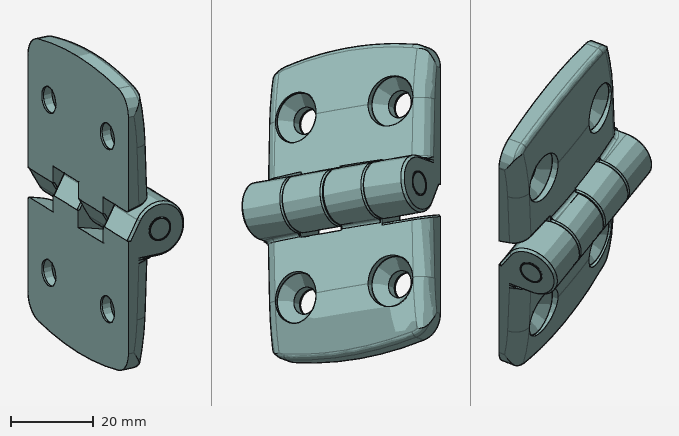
import cadquery as cq
import math

width = 48.0
half_width = width / 2
half_length = 38.5
end_arc_radius = 100.0
corner_radius = 6.0

crest_height = 8.0
crest_slope = math.radians(2.0)
crown_radius = 200.0
side_rounding = 4.0
end_rounding = 1.5
bend_z = 22.4
bend_radius = 70.0

axis_y = 8.9
knuckle_radius = 7.0
knuckle_pitch = width / 4
middle_gap = 0.2
flank_z = 1.56
outer_chamfer = 0.6
inner_chamfer = 0.4
root_fillet = 1.0
flare_overlap = 0.02

slot_front_z = 5.95
slot_back_z = 8.05
slot_chamfer = 0.5

hole_x = 14.0
hole_z = 22.5
hole_diameter = 6.7
seat_diameter = 12.6
seat_floor = 0.5
bush_rim_width = 0.1
countersink_start = 2.9
countersink_slope = math.radians(45.0)

pin_diameter = 6.0
pin_chamfer = 0.3

clearance = 10.0


def crest_y(z):
    """Height of the straight part of the crest."""
    return crest_height - (z - knuckle_radius) * math.tan(crest_slope)


def back_section(plane_z, half_span, growth=0.0):
    """Crowned section with rounded sides in an XY plane, as an open line from side to side.

    growth offsets the curved part outwards.
    """
    crown = crown_radius + growth
    rounding = side_rounding + growth
    top_y = crest_y(plane_z) + growth
    crown_y = top_y - crown
    centre_x = half_span - rounding
    centre_y = crown_y + math.sqrt((crown - rounding) ** 2 - centre_x**2)
    blend_angle = math.atan2(centre_x, centre_y - crown_y)
    middle_angle = (blend_angle + math.pi / 2) / 2
    blend_x = crown * math.sin(blend_angle)
    blend_y = crown_y + crown * math.cos(blend_angle)
    middle_x = centre_x + rounding * math.sin(middle_angle)
    middle_y = centre_y + rounding * math.cos(middle_angle)
    return (
        cq.Workplane("XY", origin=(0, 0, plane_z))
        .moveTo(-half_span, -clearance)
        .lineTo(-half_span, centre_y)
        .threePointArc((-middle_x, middle_y), (-blend_x, blend_y))
        .threePointArc((0, top_y), (blend_x, blend_y))
        .threePointArc((middle_x, middle_y), (half_span, centre_y))
        .lineTo(half_span, -clearance)
    )


def domed_bar(half_span):
    """Bar with the crowned section, swept along a crest that is straight and then bends down."""
    bend_y = crest_y(bend_z)
    centre_y = bend_y - bend_radius * math.cos(crest_slope)
    centre_z = bend_z - bend_radius * math.sin(crest_slope)
    end_z = half_length + clearance
    end_y = centre_y + math.sqrt(bend_radius**2 - (end_z - centre_z) ** 2)
    crest = (
        cq.Workplane("YZ")
        .moveTo(crest_y(0), 0)
        .lineTo(bend_y, bend_z)
        .tangentArcPoint((end_y, end_z), relative=False)
    )
    return back_section(0, half_span).close().sweep(crest)


def plate():
    """Leaf without knuckles, slots and holes."""
    side_z = half_length - end_arc_radius + math.sqrt(end_arc_radius**2 - half_width**2)
    outline = (
        cq.Workplane("XZ")
        .moveTo(-half_width, flank_z)
        .lineTo(-half_width, side_z)
        .threePointArc((0, half_length), (half_width, side_z))
        .lineTo(half_width, flank_z)
        .close()
        .extrude(-2 * clearance)
        .edges("|Y")
        .edges(">Z")
        .fillet(corner_radius)
    )
    blank = outline.intersect(domed_bar(half_width + clearance))
    rounded_end = blank.faces(">Z").edges(">Y").fillet(end_rounding)
    return rounded_end.intersect(domed_bar(half_width))


def slot(start_x, end_x):
    """Cutter with a sloping floor."""
    slope = (slot_back_z - slot_front_z) / crest_height
    back_y = crest_height + clearance
    return (
        cq.Workplane("YZ", origin=(start_x, 0, 0))
        .moveTo(-clearance, 0)
        .lineTo(-clearance, slot_front_z - clearance * slope)
        .lineTo(back_y, slot_front_z + back_y * slope)
        .lineTo(back_y, 0)
        .close()
        .extrude(end_x - start_x)
    )


def knuckle(start_x, end_x, start_chamfer):
    """Barrel and web; the lower flank runs straight from the mounting face and touches the barrel."""
    axis_distance = math.hypot(axis_y, flank_z)
    flank_length = math.sqrt(axis_distance**2 - knuckle_radius**2)
    flank_angle = math.asin(knuckle_radius / axis_distance) + math.atan2(flank_z, axis_y)
    touch_y = flank_length * math.cos(flank_angle)
    touch_z = flank_z - flank_length * math.sin(flank_angle)
    barrel = (
        cq.Workplane("YZ", origin=(start_x, 0, 0))
        .moveTo(0, knuckle_radius)
        .lineTo(0, flank_z)
        .lineTo(touch_y, touch_z)
        .threePointArc((axis_y + knuckle_radius, 0), (axis_y, knuckle_radius))
        .close()
        .extrude(end_x - start_x)
    )
    barrel = barrel.faces("<X").edges("not <Y").chamfer(start_chamfer)
    return barrel.faces(">X").edges("not <Y").chamfer(inner_chamfer)


def root_flare(start_x, end_x):
    """Fillet between the domed back and the top of a knuckle, running round the domed side."""
    top_z = knuckle_radius + root_fillet
    offset = root_fillet - flare_overlap
    outline = back_section(top_z, half_width + offset, offset)
    slab = outline.close().extrude(-root_fillet - flare_overlap)
    cove = (
        cq.Workplane("XZ", origin=(-half_width - offset, -clearance, top_z))
        .circle(root_fillet)
        .sweep(back_section(top_z, half_width + offset, offset))
    )
    trim = (
        cq.Workplane("XY")
        .box(end_x - start_x, 2 * clearance, 2 * clearance, centered=False)
        .translate((start_x, 0, 0))
    )
    return slab.cut(cove).intersect(trim)


def screw_seat(x):
    """Cutter for a screw hole and the recess that takes its bush."""
    hole = cq.Workplane("XZ", origin=(x, 0, hole_z)).circle(hole_diameter / 2).extrude(-clearance)
    recess = (
        cq.Workplane("XZ", origin=(x, seat_floor, hole_z)).circle(seat_diameter / 2).extrude(-clearance)
    )
    return hole.union(recess)


def bush(x):
    """Countersunk ring that fills the bottom of a recess."""
    bore = hole_diameter / 2
    outer = seat_diameter / 2
    mouth = outer - bush_rim_width
    rim_y = countersink_start + (mouth - bore) / math.tan(countersink_slope)
    return (
        cq.Workplane("XY", origin=(x, 0, hole_z))
        .moveTo(bore, seat_floor)
        .lineTo(outer, seat_floor)
        .lineTo(outer, rim_y)
        .lineTo(mouth, rim_y)
        .lineTo(bore, countersink_start)
        .close()
        .revolve(360, (0, 0, 0), (0, 1, 0))
    )


def leaf():
    """Leaf that lies above the axis."""
    body = plate()
    for start_x, end_x in ((-knuckle_pitch, middle_gap / 2), (knuckle_pitch, half_width)):
        body = body.cut(slot(start_x, end_x))
    slot_edges = body.faces(">X").edges("<Z")
    body = slot_edges.chamfer(slot_chamfer)
    body = body.union(knuckle(-half_width, -knuckle_pitch, outer_chamfer))
    body = body.union(knuckle(middle_gap / 2, knuckle_pitch, inner_chamfer))
    body = body.union(root_flare(-half_width, -knuckle_pitch - inner_chamfer))
    body = body.union(root_flare(middle_gap / 2 + inner_chamfer, knuckle_pitch - inner_chamfer))
    for x in (-hole_x, hole_x):
        body = body.cut(screw_seat(x))
    pin_hole = (
        cq.Workplane("YZ", origin=(-half_width, axis_y, 0)).circle(pin_diameter / 2).extrude(width)
    )
    return body.cut(pin_hole)


def turned_over(body):
    """Copy of a body turned half a turn about the Y axis, onto the other leaf."""
    return body.rotate((0, 0, 0), (0, 1, 0), 180)


pin = (
    cq.Workplane("YZ", origin=(-half_width, axis_y, 0))
    .circle(pin_diameter / 2)
    .extrude(width)
    .faces("<X or >X")
    .chamfer(pin_chamfer)
)
upper_leaf = leaf()
lower_leaf = turned_over(upper_leaf)
bushes = []
for x in (-hole_x, hole_x):
    upper_bush = bush(x)
    bushes.append(upper_bush.val())
    bushes.append(turned_over(upper_bush).val())

result = cq.Compound.makeCompound([upper_leaf.val(), lower_leaf.val(), pin.val(), *bushes])